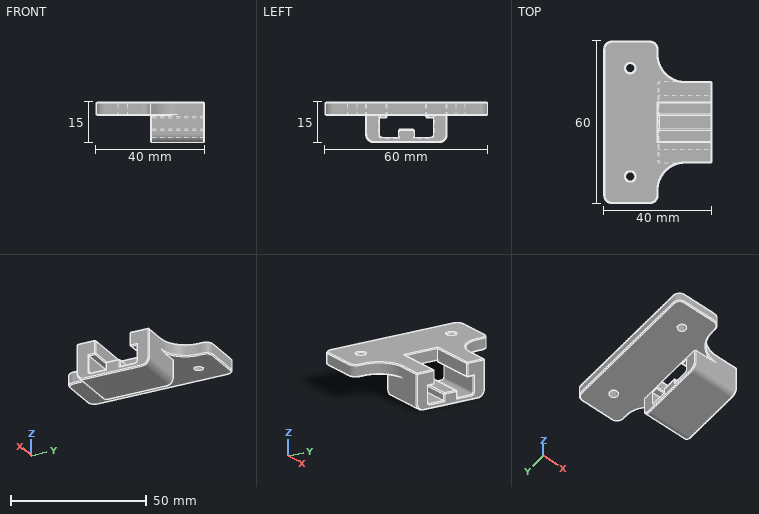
import cadquery as cq


plate_width = 60.0
total_length = 40.0
total_height = 15.0
edge_chamfer = 0.4

plate_thickness = 5.0
head_length = 20.05
tail_width = 30.1
tail_length = total_length - head_length
head_corner_radius = 3.0
neck_radius = 10.0

hole_diameter = 3.4
hole_edge_distance = 9.8
hole_spacing = 40.0

channel_corner_radius = 3.0
cavity_width = 20.0
cavity_top_depth = 5.8
cavity_floor_thickness = 2.0
cavity_floor_z = cavity_floor_thickness - total_height
cavity_corner_radius = 1.0

slot_width = 14.2

rib_width = 6.0
rib_height = 3.0
rib_chamfer = 0.5


def tail_box(width, bottom_z, top_z):
    """Box as long as the tail, centred on Y."""
    return cq.Workplane("XY", origin=(head_length, 0, bottom_z)).box(
        tail_length, width, top_z - bottom_z, centered=(False, True, False)
    )


def make_plate():
    """T-shaped plate with rounded head corners, concave necks and a chamfered underside."""
    tail_half = tail_width / 2
    neck_end_x = head_length + neck_radius
    neck_start_y = tail_half + neck_radius
    head = (
        cq.Workplane("XY", origin=(0, 0, -plate_thickness))
        .box(head_length, plate_width, plate_thickness, centered=(False, True, False))
        .edges("|Z")
        .fillet(head_corner_radius)
    )
    tail = (
        cq.Workplane("XY", origin=(0, 0, -plate_thickness))
        .moveTo(head_length, -neck_start_y)
        .radiusArc((neck_end_x, -tail_half), neck_radius)
        .lineTo(total_length, -tail_half)
        .lineTo(total_length, tail_half)
        .lineTo(neck_end_x, tail_half)
        .radiusArc((head_length, neck_start_y), neck_radius)
        .close()
        .extrude(plate_thickness)
    )
    return head.union(tail).faces("<Z").edges().chamfer(edge_chamfer)


def make_channel_block():
    """Solid block under the tail, rounded along its two lower edges."""
    block = tail_box(tail_width, -total_height, 0)
    block = block.edges("|X and <Z").fillet(channel_corner_radius)
    return block.faces("<X").edges("not >Z").chamfer(edge_chamfer)


def make_cavity():
    """Space inside the channel, with rounded floor corners."""
    cavity = tail_box(cavity_width, cavity_floor_z, -cavity_top_depth)
    return cavity.edges("|X and <Z").fillet(cavity_corner_radius)


def make_slot():
    """Opening from the top face into the cavity, flared where it meets the cavity."""
    slot_half = slot_width / 2
    flared_half = slot_half + edge_chamfer
    flare_top_z = edge_chamfer - cavity_top_depth
    return (
        cq.Workplane("YZ", origin=(head_length, 0, 0))
        .moveTo(-slot_half, 0)
        .lineTo(-slot_half, flare_top_z)
        .lineTo(-flared_half, -cavity_top_depth)
        .lineTo(flared_half, -cavity_top_depth)
        .lineTo(slot_half, flare_top_z)
        .lineTo(slot_half, 0)
        .close()
        .extrude(tail_length)
    )


def make_rib():
    """Rib standing on the cavity floor, chamfered on top except at the open end."""
    rib = tail_box(rib_width, cavity_floor_z, cavity_floor_z + rib_height)
    return rib.faces(">Z").edges("not >X").chamfer(rib_chamfer)


def make_holes():
    """Two screw holes through the head."""
    centres = [(hole_edge_distance, side * hole_spacing / 2) for side in (-1, 1)]
    return cq.Workplane("XY").pushPoints(centres).circle(hole_diameter / 2).extrude(-plate_thickness)


body = make_plate().union(make_channel_block())
body = body.cut(make_cavity()).cut(make_slot()).cut(make_holes())
body = body.union(make_rib())

result = body.faces(">Z or >X").edges().chamfer(edge_chamfer)